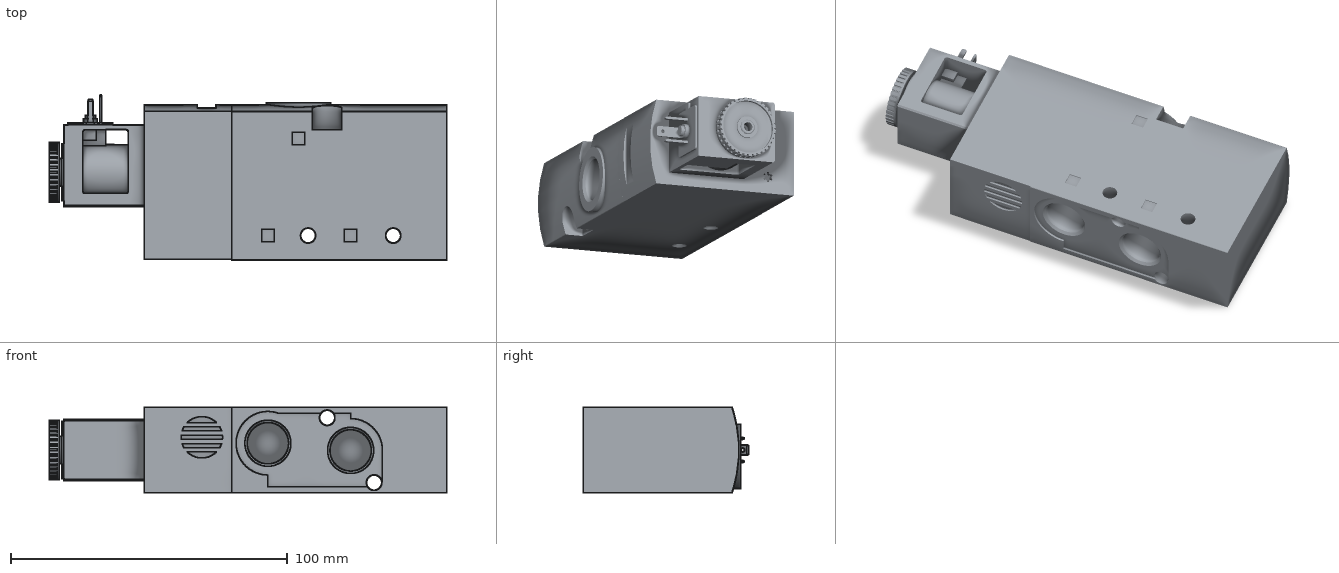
import cadquery as cq
import math


LENGTH = 143.8
HEIGHT = 31.0
MID_Z = HEIGHT / 2

CROWN_EDGE_Y = 53.8
CROWN_PEAK_Y = 56.2
PILOT_FRONT_Y = 0.3
BODY_EDGE_CHAMFER = 0.1

BODY_START_X = 66.0
PORT_DIA = 15.0
PORT_MOUTH_DIA = 16.7
PORT_DEPTH = 17.3
FRONT_PORT_1 = (79.1, 18.0)
FRONT_PORT_2 = (109.0, 15.4)
PAD_DEPTH = 0.7
PAD_RADIUS = 11.5
PAD_TOP_Z = 28.8
PAD_BOTTOM_Z = 2.3
PAD_CORNER_RADIUS = 2.6
REAR_PORT = (90.2, 13.2)
REAR_BOSS_DIA = 23.3
REAR_BOSS_Y = 57.0
SIDE_HOLE_DIA = 5.5
UPPER_SIDE_HOLE = (100.5, 27.2)
LOWER_SIDE_HOLE = (117.5, 3.7)
HEAD_SLOT_WIDTH = 10.6
HEAD_SLOT_Y = 47.2
VERTICAL_HOLE_DIA = 5.3
VERTICAL_HOLE_XS = (93.6, 124.5)
VERTICAL_HOLE_Y = 8.9
LABEL_SIZE = 4.5
LABEL_DEPTH = 0.3
REAR_LABEL_Y = 44.0

PILOT_START_X = 34.4
VENT_CENTRE = (55.2, 20.1)
VENT_DIA = 15.0
VENT_DEPTH = 0.7
VENT_BAR_COUNT = 4
VENT_PITCH = 3.0
VENT_BAR = VENT_PITCH / 2
NOTCH_CENTRE_X = 57.0
NOTCH_WIDTH = 6.8
NOTCH_FLOOR_Y = 55.1

SCREW_DIA = 8.0
SCREW_LENGTH = 4.3
SCREW_CENTRES = ((10.4, 6.0), (47.8, 24.5))
SOCKET_DIA = 3.7
SOCKET_FLUTE_DIA = 1.2
SOCKET_LOBES = 6
SOCKET_DEPTH = 1.7

COIL_START_X = 5.3
COIL_FRONT_Y = 19.3
COIL_BACK_Y = 48.9
COIL_HEIGHT = 22.2
COIL_CHAMFER = 0.6
COIL_AXIS_Y = 31.8
WINDOW_START_X = 12.2
WINDOW_END_X = 28.6
WINDOW_FRONT_Y = 24.2
WINDOW_BACK_Y = 47.2
WINDOW_RADIUS = 0.9
WINDING_DIA = 20.1
WASHER_DIA = 20.7
WASHER_START_X = 4.6
LEDGE_END_X = 20.5
LEDGE_TOP_Z = 18.4
STEP_END_X = 17.0
STEP_FRONT_Y = 43.5
STEP_TOP_Z = 20.1

SEAT_X = 15.0
SEAT_SIZE = 16.3
SEAT_RADIUS = 0.9
SEAT_Y = 49.6
SEAT_TAB_WIDTH = 2.9
SEAT_TAB_TOP_Z = 25.7
POST_DIA = 5.0
POST_END_Y = 51.2
POST_TIP_DIA = 3.7
POST_TIP_END_Y = 52.5
BLADE_THICKNESS = 0.9
BLADE_TIP_LENGTH = 0.7
BLADE_TIP_TAPER = 20
CONTACT_WIDTH = 1.9
CONTACT_OFFSET_Z = 4.2
CONTACT_END_Y = 58.3
GROUND_X = 18.7
GROUND_WIDTH = 3.7
GROUND_END_Y = 59.8
GROUND_HOLE_DIA = 1.3
GROUND_HOLE_Y = 57.7

NUT_DIA = 21.6
KNURL_COUNT = 36
KNURL_DEPTH = 0.6
KNURL_WIDTH = 0.7
KNURL_LENGTH = 3.0
NUT_LENGTH = 3.7
NUT_RECESS_DIA = 19.3
NUT_RECESS_DEPTH = 1.2
NUT_NECK_DIA = 10.0
NUT_BOSS_DIA = 7.9
NUT_BOSS_START_X = 0.6
STEM_DIA = 5.3
STEM_TIP_DIA = 4.7
STEM_HOLE_DIA = 3.3
STEM_BORE_DIA = 1.7
STEM_HOLE_DEPTH = 4.3


def box(x0, x1, y0, y1, z0, z1):
    """Box between two corners."""
    return cq.Workplane("XY").box(x1 - x0, y1 - y0, z1 - z0, centered=False).translate((x0, y0, z0))


def rod_x(dia, x0, x1, y, z):
    """Cylinder along X from x0 to x1."""
    return cq.Workplane("YZ", origin=(x0, y, z)).circle(dia / 2).extrude(x1 - x0)


def rod_y(dia, y0, y1, x, z):
    """Cylinder along Y from y0 to y1."""
    return cq.Workplane("XZ", origin=(x, y0, z)).circle(dia / 2).extrude(y0 - y1)


def crowned_block(x0, x1, front_y):
    """Block with a flat front and a back that bulges in an arc."""
    return (
        cq.Workplane("YZ", origin=(x0, 0, 0))
        .moveTo(front_y, 0)
        .lineTo(CROWN_EDGE_Y, 0)
        .threePointArc((CROWN_PEAK_Y, MID_Z), (CROWN_EDGE_Y, HEIGHT))
        .lineTo(front_y, HEIGHT)
        .close()
        .extrude(x1 - x0)
    )


def port_pad():
    """Shallow recess around both front ports, ending in an arc round each port."""
    x1, z1 = FRONT_PORT_1
    x2, z2 = FRONT_PORT_2
    top_offset = math.sqrt(PAD_RADIUS**2 - (PAD_TOP_Z - z1) ** 2)
    diagonal = PAD_RADIUS * math.sqrt(0.5)
    return (
        cq.Workplane("XZ")
        .moveTo(x1, PAD_BOTTOM_Z)
        .lineTo(x1, z1 - PAD_RADIUS)
        .threePointArc((x1 - PAD_RADIUS, z1), (x1 + top_offset, PAD_TOP_Z))
        .lineTo(x2, PAD_TOP_Z)
        .lineTo(x2, z2 + PAD_RADIUS)
        .threePointArc((x2 + diagonal, z2 + diagonal), (x2 + PAD_RADIUS, z2))
        .lineTo(x2 + PAD_RADIUS, PAD_BOTTOM_Z)
        .close()
        .extrude(-PAD_DEPTH)
        .edges("|Y and >X and <Z")
        .fillet(PAD_CORNER_RADIUS)
    )


def port_bore(centre, mouth_y, inward):
    """Port with a chamfered mouth; inward is +1 or -1 along Y."""
    x, z = centre
    chamfer = (PORT_MOUTH_DIA - PORT_DIA) / 2
    bore = rod_y(PORT_DIA, mouth_y, mouth_y + inward * PORT_DEPTH, x, z)
    mouth = cq.Solid.makeCone(
        PORT_MOUTH_DIA / 2, PORT_DIA / 2, chamfer, pnt=cq.Vector(x, mouth_y, z), dir=cq.Vector(0, inward, 0)
    )
    return bore.union(cq.Workplane(mouth))


def head_slot(centre, open_z):
    """Round-ended slot for a screw head, running from the hole out to the face at open_z."""
    x, z = centre
    half = HEAD_SLOT_WIDTH / 2
    round_end = rod_y(HEAD_SLOT_WIDTH, HEAD_SLOT_Y, REAR_BOSS_Y, x, z)
    straight = box(x - half, x + half, HEAD_SLOT_Y, REAR_BOSS_Y, min(z, open_z), max(z, open_z))
    return round_end.union(straight)


def label_pocket(x, y):
    """Shallow square pocket in the top face."""
    half = LABEL_SIZE / 2
    return box(x - half, x + half, y - half, y + half, HEIGHT - LABEL_DEPTH, HEIGHT)


def make_valve_body():
    body = crowned_block(BODY_START_X, LENGTH, 0).edges("|X").chamfer(BODY_EDGE_CHAMFER)
    rear_x, rear_z = REAR_PORT
    body = body.union(rod_y(REAR_BOSS_DIA, HEAD_SLOT_Y, REAR_BOSS_Y, rear_x, rear_z))
    body = body.cut(port_pad())
    for centre in (FRONT_PORT_1, FRONT_PORT_2):
        body = body.cut(port_bore(centre, PAD_DEPTH, 1))
        body = body.cut(label_pocket(centre[0], VERTICAL_HOLE_Y))
    body = body.cut(port_bore(REAR_PORT, REAR_BOSS_Y, -1)).cut(label_pocket(rear_x, REAR_LABEL_Y))
    for centre, open_z in ((UPPER_SIDE_HOLE, HEIGHT), (LOWER_SIDE_HOLE, 0)):
        body = body.cut(rod_y(SIDE_HOLE_DIA, 0, REAR_BOSS_Y, *centre)).cut(head_slot(centre, open_z))
    for x in VERTICAL_HOLE_XS:
        hole = cq.Workplane("XY", origin=(x, VERTICAL_HOLE_Y, 0)).circle(VERTICAL_HOLE_DIA / 2)
        body = body.cut(hole.extrude(HEIGHT))
    return body


def vent_recess():
    """Round recess crossed by flush bars."""
    x, z = VENT_CENTRE
    floor_y = PILOT_FRONT_Y + VENT_DEPTH
    recess = rod_y(VENT_DIA, PILOT_FRONT_Y, floor_y, x, z)
    for index in range(VENT_BAR_COUNT):
        bar_z = z + (index - (VENT_BAR_COUNT - 1) / 2) * VENT_PITCH
        bar = box(
            x - VENT_DIA, x + VENT_DIA, PILOT_FRONT_Y, floor_y, bar_z - VENT_BAR / 2, bar_z + VENT_BAR / 2
        )
        recess = recess.cut(bar)
    return recess


def make_pilot_block():
    block = crowned_block(PILOT_START_X, BODY_START_X, PILOT_FRONT_Y)
    block = block.cut(vent_recess())
    notch = box(
        NOTCH_CENTRE_X - NOTCH_WIDTH / 2,
        NOTCH_CENTRE_X + NOTCH_WIDTH / 2,
        NOTCH_FLOOR_Y,
        CROWN_PEAK_Y,
        0,
        HEIGHT,
    )
    block = block.cut(notch)
    for y, z in SCREW_CENTRES:
        block = block.cut(rod_x(SCREW_DIA, PILOT_START_X, PILOT_START_X + SCREW_LENGTH, y, z))
    return block


def make_screw(y, z):
    """Flush screw head with a six-lobed socket."""
    socket_end_x = PILOT_START_X + SOCKET_DEPTH
    screw = rod_x(SCREW_DIA, PILOT_START_X, PILOT_START_X + SCREW_LENGTH, y, z)
    socket = rod_x(SOCKET_DIA, PILOT_START_X, socket_end_x, y, z)
    for lobe in range(SOCKET_LOBES):
        angle = 2 * math.pi * lobe / SOCKET_LOBES
        flute_y = y + SOCKET_DIA / 2 * math.cos(angle)
        flute_z = z + SOCKET_DIA / 2 * math.sin(angle)
        socket = socket.cut(rod_x(SOCKET_FLUTE_DIA, PILOT_START_X, socket_end_x, flute_y, flute_z))
    return screw.cut(socket)


def blade(x, z, size_x, size_z, end_y):
    """Flat blade along Y with a tapered tip."""
    tip_y = end_y - BLADE_TIP_LENGTH
    bar = box(x - size_x / 2, x + size_x / 2, COIL_BACK_Y, tip_y, z - size_z / 2, z + size_z / 2)
    tip = (
        cq.Workplane("ZX", origin=(x, tip_y, z))
        .rect(size_z, size_x)
        .extrude(BLADE_TIP_LENGTH, taper=BLADE_TIP_TAPER)
    )
    return bar.union(tip)


def terminals():
    """Seat on the back of the coil with its post, two contact blades and the ground blade."""
    half_seat = SEAT_SIZE / 2
    seat = box(
        SEAT_X - half_seat, SEAT_X + half_seat, COIL_BACK_Y, SEAT_Y, MID_Z - half_seat, MID_Z + half_seat
    )
    parts = seat.edges("|Y").fillet(SEAT_RADIUS)
    half_tab = SEAT_TAB_WIDTH / 2
    parts = parts.union(box(SEAT_X - half_tab, SEAT_X + half_tab, COIL_BACK_Y, SEAT_Y, MID_Z, SEAT_TAB_TOP_Z))
    parts = parts.union(rod_y(POST_DIA, COIL_BACK_Y, POST_END_Y, SEAT_X, MID_Z))
    parts = parts.union(rod_y(POST_TIP_DIA, COIL_BACK_Y, POST_TIP_END_Y, SEAT_X, MID_Z))
    for side in (-1, 1):
        parts = parts.union(
            blade(SEAT_X, MID_Z + side * CONTACT_OFFSET_Z, CONTACT_WIDTH, BLADE_THICKNESS, CONTACT_END_Y)
        )
    ground = blade(GROUND_X, MID_Z, BLADE_THICKNESS, GROUND_WIDTH, GROUND_END_Y)
    hole_start_x = GROUND_X - BLADE_THICKNESS
    hole_end_x = GROUND_X + BLADE_THICKNESS
    hole = rod_x(GROUND_HOLE_DIA, hole_start_x, hole_end_x, GROUND_HOLE_Y, MID_Z)
    return parts.union(ground.cut(hole))


def make_coil():
    bottom_z = MID_Z - COIL_HEIGHT / 2
    top_z = MID_Z + COIL_HEIGHT / 2
    frame = box(COIL_START_X, PILOT_START_X, COIL_FRONT_Y, COIL_BACK_Y, bottom_z, top_z)
    frame = frame.edges("|X and <Y").chamfer(COIL_CHAMFER)
    window = box(WINDOW_START_X, WINDOW_END_X, WINDOW_FRONT_Y, WINDOW_BACK_Y, bottom_z, top_z)
    frame = frame.cut(window.edges("|Z").fillet(WINDOW_RADIUS))
    coil = frame.union(rod_x(WINDING_DIA, COIL_START_X, PILOT_START_X, COIL_AXIS_Y, MID_Z))
    coil = coil.union(
        box(WINDOW_START_X, LEDGE_END_X, COIL_AXIS_Y, WINDOW_BACK_Y, bottom_z, LEDGE_TOP_Z)
    )
    coil = coil.union(
        box(WINDOW_START_X, STEP_END_X, STEP_FRONT_Y, WINDOW_BACK_Y, bottom_z, STEP_TOP_Z)
    )
    coil = coil.union(rod_x(WASHER_DIA, WASHER_START_X, COIL_START_X, COIL_AXIS_Y, MID_Z))
    return coil.union(terminals())


def nut_rod(dia, x0, x1):
    """Cylinder on the axis of the coil."""
    return rod_x(dia, x0, x1, COIL_AXIS_Y, MID_Z)


def knurl_grooves():
    """Grooves along X, evenly spaced round the rim."""
    middle = cq.Workplane("YZ", origin=(0, COIL_AXIS_Y, MID_Z))
    return (
        middle.polarArray(NUT_DIA / 2, 0, 360, KNURL_COUNT)
        .rect(2 * KNURL_DEPTH, KNURL_WIDTH)
        .extrude(KNURL_LENGTH)
    )


def make_nut():
    nut = nut_rod(NUT_DIA, 0, NUT_LENGTH).cut(knurl_grooves())
    nut = nut.cut(nut_rod(NUT_RECESS_DIA, 0, NUT_RECESS_DEPTH))
    nut = nut.union(nut_rod(NUT_NECK_DIA, NUT_LENGTH, WASHER_START_X))
    nut = nut.union(nut_rod(NUT_BOSS_DIA, NUT_BOSS_START_X, NUT_RECESS_DEPTH))
    stem = nut_rod(STEM_DIA, 0, NUT_RECESS_DEPTH).faces("<X").chamfer((STEM_DIA - STEM_TIP_DIA) / 2)
    nut = nut.union(stem)
    nut = nut.cut(nut_rod(STEM_HOLE_DIA, 0, STEM_HOLE_DEPTH))
    return nut.cut(nut_rod(STEM_BORE_DIA, 0, WASHER_START_X))


valve_body = make_valve_body()
pilot_block = make_pilot_block()
screws = [make_screw(y, z) for y, z in SCREW_CENTRES]
coil = make_coil()
knurled_nut = make_nut()

result = cq.Compound.makeCompound(
    [
        valve_body.val(),
        pilot_block.val(),
        *[screw.val() for screw in screws],
        coil.val(),
        knurled_nut.val(),
    ]
)